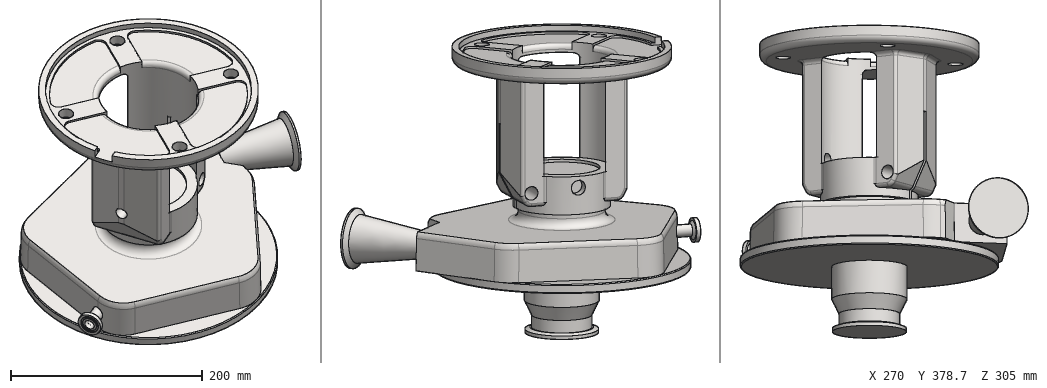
import cadquery as cq
import math

PIPE_TAPER_BOTTOM = 19.0
PIPE_TAPER_TOP = 34.5
PLATE_BOTTOM = 69.0
PLATE_TOP = 78.8
VOLUTE_TOP = 120.0
NECK_TOP = 135.5
COLUMN_BOTTOM = 144.5
RING_TOP = 176.0
TOTAL_HEIGHT = 305.0
FLANGE_THICKNESS = 17.5
FLANGE_BOTTOM = TOTAL_HEIGHT - FLANGE_THICKNESS

PIPE_RADIUS = 39.5
PIPE_SMALL_RADIUS = 32.0
FERRULE_RADIUS = 38.5
FERRULE_RIM = 3.8
FERRULE_BEVEL = 2.0
FERRULE_BEVEL_RADIUS = 33.5
PLATE_RADIUS = 270.0 / 2
PLATE_CHAMFER = 1.0

SIDE_DISTANCE = 114.8
PENTAGON_STEP = 360 / 5
PENTAGON_SIDES_KEPT = 4
FIRST_SIDE = 171
SHOULDER_SIDE = (126, 139.5)
OUTLET_SIDE = (45, 110.5)
RELIEF_SIDE = (100, 118.5)
TONGUE_SIDE = (58, 138.5)
CORNER_RADIUS = 34.0
VOLUTE_DRAFT = 1.0
VOLUTE_EDGE_FILLET = 10.5
VOLUTE_EDGE_TRIM = 3.8

NECK_RADIUS = 45.5
NECK_FILLET = 10.2
RING_RADIUS = 51.0
RING_RECESS_RADIUS = 39.8
RING_RECESS_DEPTH = 3.0
RING_HOLE_DIAMETER = 15.5
RING_HOLE_HEIGHT = 164.0

COLUMN_HALF_WIDTH = 39.5
COLUMN_RIDGE = 69.5
COLUMN_SHOULDER = 58.5
RIDGE_WIDTH = 6.0
COLUMN_EDGE_FILLET = 3.8
COLUMN_SLOPE_TOP = 175.0
COLUMN_SLOPE_BOTTOM = 149.3
COLUMN_SLOPE_INNER = 55.5
COLUMN_TOE = 47.7
COLUMN_TOE_RADIUS = 9.0
COLUMN_FLARE = 5.0
FLARE_PAD_THICKNESS = 2.0
RING_BLEND_FILLET = 3.8
RIDGE_HOLE_DIAMETER = 12.5
RIDGE_HOLE_HEIGHT = 188.3
CLAMP_HOLE_DIAMETER = 14.5
CLAMP_HOLE_HEIGHT = 159.0
CLAMP_HOLE_Y = 48.0
SLIT_WIDTH = 3.8
SLIT_TOP = 227.3

FLANGE_RADIUS = 114.8
FLANGE_BORE_RADIUS = 52.3
FLANGE_EDGE_FILLET = 7.0
FLANGE_BORE_FILLET = 5.5
RIM_INNER_RADIUS = 107.5
RIM_DEPTH = 6.0
POCKET_RADIUS = 103.5
POCKET_FLOOR = TOTAL_HEIGHT - 8.5
POCKET_CORNER_RADIUS = 8.7
SPOKE_WIDTH = 24.2
SPOKE_ANGLES = (45, 135)
BOLT_CIRCLE_RADIUS = 92.0
BOLT_DIAMETER = 15.5
NOTCH_WIDTH = 19.7
NOTCH_REACH = 98.5

NOZZLE_OFFSET = 96.5
NOZZLE_HEIGHT = 101.0
NOZZLE_END = 195.0
NOZZLE_ROOT = 106.0
NOZZLE_CONE_START = 113.3
NOZZLE_CONE_END = NOZZLE_END - 6.5
NOZZLE_NECK_RADIUS = 11.5
NOZZLE_SMALL_RADIUS = 14.5
NOZZLE_LARGE_RADIUS = 25.8
NOZZLE_RIM_RADIUS = 32.0
NOZZLE_RIM = 2.3

DRAIN_HEIGHT = 98.5
DRAIN_END = 150.0
DRAIN_RADIUS = 13.3 / 2
DRAIN_BORE_RADIUS = 5.3
DRAIN_RIM_RADIUS = 13.0
DRAIN_RIM = 4.5
DRAIN_HUB_RADIUS = 10.2
DRAIN_HUB_START = 7.0
DRAIN_GROOVE_RADII = (8.0, 10.0)
DRAIN_GROOVE_DEPTH = 1.0


def cylinder(radius, bottom, top):
    return cq.Workplane("XY").workplane(offset=bottom).circle(radius).extrude(top - bottom)


def box_between(x_range, y_range, z_range):
    (x0, x1), (y0, y1), (z0, z1) = x_range, y_range, z_range
    return cq.Workplane("XY").box(x1 - x0, y1 - y0, z1 - z0, centered=False).translate((x0, y0, z0))


def meeting_point(side_a, side_b):
    """Corner of two sides, each given as (normal direction, distance from the axis)."""
    (angle_a, distance_a), (angle_b, distance_b) = side_a, side_b
    a = math.radians(angle_a)
    b = math.radians(angle_b)
    turn = math.sin(b - a)
    x = (distance_a * math.sin(b) - distance_b * math.sin(a)) / turn
    y = (distance_b * math.cos(a) - distance_a * math.cos(b)) / turn
    return x, y


def nearest(point, z):
    return cq.selectors.NearestToPointSelector((point[0], point[1], z))


def midpoint(a, b):
    return (a[0] + b[0]) / 2, (a[1] + b[1]) / 2


def make_pipe_and_plate():
    profile = [
        (0, 0),
        (FERRULE_RADIUS, 0),
        (FERRULE_RADIUS, FERRULE_RIM),
        (FERRULE_BEVEL_RADIUS, FERRULE_RIM + FERRULE_BEVEL),
        (PIPE_SMALL_RADIUS, FERRULE_RIM + FERRULE_BEVEL),
        (PIPE_SMALL_RADIUS, PIPE_TAPER_BOTTOM),
        (PIPE_RADIUS, PIPE_TAPER_TOP),
        (PIPE_RADIUS, PLATE_BOTTOM),
        (PLATE_RADIUS - PLATE_CHAMFER, PLATE_BOTTOM),
        (PLATE_RADIUS, PLATE_BOTTOM + PLATE_CHAMFER),
        (PLATE_RADIUS, PLATE_TOP - PLATE_CHAMFER),
        (PLATE_RADIUS - PLATE_CHAMFER, PLATE_TOP),
        (0, PLATE_TOP),
    ]
    return cq.Workplane("XZ").polyline(profile).close().revolve()


def make_volute():
    pentagon_sides = [(FIRST_SIDE + i * PENTAGON_STEP, SIDE_DISTANCE) for i in range(PENTAGON_SIDES_KEPT)]
    sides = [SHOULDER_SIDE] + pentagon_sides + [TONGUE_SIDE, RELIEF_SIDE, OUTLET_SIDE]
    corners = [meeting_point(side, following) for side, following in zip(sides, sides[1:] + sides[:1])]
    *rounded_corners, tongue_tip, relief_corner, outlet_corner = corners

    untrimmed_top = VOLUTE_TOP + VOLUTE_EDGE_TRIM
    height = untrimmed_top - PLATE_TOP
    middle = PLATE_TOP + height / 2
    body = (cq.Workplane("XY").workplane(offset=PLATE_TOP)
            .polyline(corners).close().extrude(height, taper=VOLUTE_DRAFT))
    for corner in rounded_corners:
        body = body.edges(nearest(corner, middle)).fillet(CORNER_RADIUS)

    sharp_edges = (nearest(midpoint(tongue_tip, relief_corner), untrimmed_top)
                   + nearest(relief_corner, untrimmed_top)
                   + nearest(midpoint(relief_corner, outlet_corner), untrimmed_top))
    body = body.faces(">Z").edges(-sharp_edges).fillet(VOLUTE_EDGE_FILLET)
    return body.cut(cylinder(2 * PLATE_RADIUS, VOLUTE_TOP, untrimmed_top))


def make_neck():
    return (cq.Workplane("XZ")
            .moveTo(0, VOLUTE_TOP)
            .lineTo(NECK_RADIUS + NECK_FILLET, VOLUTE_TOP)
            .radiusArc((NECK_RADIUS, VOLUTE_TOP + NECK_FILLET), NECK_FILLET)
            .lineTo(NECK_RADIUS, NECK_TOP)
            .lineTo(0, NECK_TOP)
            .close().revolve())


def make_column():
    """One column on the -Y side of the axis, flared where it meets the flange."""
    half_ridge = RIDGE_WIDTH / 2
    plan = [
        (-COLUMN_HALF_WIDTH, 0),
        (-COLUMN_HALF_WIDTH, -COLUMN_SHOULDER),
        (-half_ridge, -COLUMN_RIDGE),
        (half_ridge, -COLUMN_RIDGE),
        (COLUMN_HALF_WIDTH, -COLUMN_SHOULDER),
        (COLUMN_HALF_WIDTH, 0),
    ]
    column = (cq.Workplane("XY").workplane(offset=COLUMN_BOTTOM)
              .polyline(plan).close().extrude(FLANGE_BOTTOM - COLUMN_BOTTOM))
    side_outline = (cq.Workplane("YZ").workplane(offset=-COLUMN_HALF_WIDTH)
                    .moveTo(0, FLANGE_BOTTOM)
                    .lineTo(-COLUMN_RIDGE, FLANGE_BOTTOM)
                    .lineTo(-COLUMN_RIDGE, COLUMN_SLOPE_TOP)
                    .lineTo(-COLUMN_SLOPE_INNER, COLUMN_SLOPE_BOTTOM)
                    .radiusArc((-COLUMN_TOE, COLUMN_BOTTOM), -COLUMN_TOE_RADIUS)
                    .lineTo(0, COLUMN_BOTTOM)
                    .close().extrude(2 * COLUMN_HALF_WIDTH))
    column = column.intersect(side_outline)
    margin = COLUMN_EDGE_FILLET / 2
    for x in (-COLUMN_HALF_WIDTH, COLUMN_HALF_WIDTH):
        side_edges = cq.selectors.BoxSelector(
            (x - margin, -COLUMN_RIDGE, COLUMN_BOTTOM - margin),
            (x + margin, -margin, FLANGE_BOTTOM - margin))
        column = column.edges(side_edges).fillet(COLUMN_EDGE_FILLET)

    pad_half_width = COLUMN_HALF_WIDTH + 2 * COLUMN_FLARE
    pad = box_between((-pad_half_width, pad_half_width), (-COLUMN_RIDGE - 2 * COLUMN_FLARE, 0),
                      (FLANGE_BOTTOM, FLANGE_BOTTOM + FLARE_PAD_THICKNESS))
    column = column.union(pad)
    root = cq.selectors.BoxSelector(
        (-COLUMN_HALF_WIDTH - margin, -COLUMN_RIDGE - margin, FLANGE_BOTTOM - margin),
        (COLUMN_HALF_WIDTH + margin, -margin, FLANGE_BOTTOM + margin))
    return column.edges(root).fillet(COLUMN_FLARE)


def make_column_pair():
    """Both columns blended into the clamping ring, with the flange bore carried down between them."""
    column = make_column()
    ring = cylinder(RING_RADIUS, NECK_TOP, RING_TOP)

    blend_y = math.sqrt(RING_RADIUS ** 2 - COLUMN_HALF_WIDTH ** 2) + 2 * RING_BLEND_FILLET
    blend_bottom = COLUMN_BOTTOM + COLUMN_EDGE_FILLET
    bridge = box_between((-COLUMN_HALF_WIDTH, COLUMN_HALF_WIDTH), (-blend_y, blend_y),
                         (blend_bottom, RING_TOP))
    blends = cylinder(RING_RADIUS, blend_bottom, RING_TOP).union(bridge)
    inside_corners = cq.selectors.BoxSelector(
        (-RING_RADIUS, RING_BLEND_FILLET - blend_y, NECK_TOP),
        (RING_RADIUS, blend_y - RING_BLEND_FILLET, RING_TOP))
    blends = blends.edges("|Z").edges(inside_corners).fillet(RING_BLEND_FILLET)

    pair = ring.union(blends).union(column).union(column.mirror("XZ"))
    return pair.cut(cylinder(FLANGE_BORE_RADIUS, RING_TOP, TOTAL_HEIGHT))


def make_flange():
    flange = (cylinder(FLANGE_RADIUS, FLANGE_BOTTOM, TOTAL_HEIGHT)
              .faces("<Z").edges().fillet(FLANGE_EDGE_FILLET))
    flange = flange.cut(cylinder(RIM_INNER_RADIUS, TOTAL_HEIGHT - RIM_DEPTH, TOTAL_HEIGHT))

    bore_edge = (cq.Workplane("XZ")
                 .moveTo(0, POCKET_FLOOR - FLANGE_BORE_FILLET)
                 .lineTo(FLANGE_BORE_RADIUS, POCKET_FLOOR - FLANGE_BORE_FILLET)
                 .radiusArc((FLANGE_BORE_RADIUS + FLANGE_BORE_FILLET, POCKET_FLOOR), FLANGE_BORE_FILLET)
                 .lineTo(FLANGE_BORE_RADIUS + FLANGE_BORE_FILLET, TOTAL_HEIGHT)
                 .lineTo(0, TOTAL_HEIGHT)
                 .close().revolve())
    pockets = cylinder(POCKET_RADIUS, POCKET_FLOOR, TOTAL_HEIGHT)
    for angle in SPOKE_ANGLES:
        spoke = (cq.Workplane("XY").rect(2 * FLANGE_RADIUS, SPOKE_WIDTH).extrude(TOTAL_HEIGHT)
                 .rotate((0, 0, 0), (0, 0, 1), angle))
        pockets = pockets.cut(spoke)
        bore_edge = bore_edge.cut(spoke)
    pockets = pockets.edges("|Z").fillet(POCKET_CORNER_RADIUS)
    flange = flange.cut(pockets).cut(bore_edge)
    flange = flange.cut(cylinder(FLANGE_BORE_RADIUS, FLANGE_BOTTOM, TOTAL_HEIGHT))
    bolt_holes = (cq.Workplane("XY").workplane(offset=FLANGE_BOTTOM)
                  .polarArray(BOLT_CIRCLE_RADIUS, SPOKE_ANGLES[0], 360, 2 * len(SPOKE_ANGLES))
                  .circle(BOLT_DIAMETER / 2).extrude(FLANGE_THICKNESS))
    notch = box_between((-NOTCH_WIDTH / 2, NOTCH_WIDTH / 2), (-FLANGE_RADIUS, -NOTCH_REACH),
                        (POCKET_FLOOR, TOTAL_HEIGHT))
    return flange.cut(bolt_holes).cut(notch)


def make_nozzle():
    """Outlet nozzle, turned about its own axis and then aimed away from the outlet face."""
    profile = [
        (0, NOZZLE_ROOT),
        (NOZZLE_NECK_RADIUS, NOZZLE_ROOT),
        (NOZZLE_NECK_RADIUS, NOZZLE_CONE_START),
        (NOZZLE_SMALL_RADIUS, NOZZLE_CONE_START),
        (NOZZLE_LARGE_RADIUS, NOZZLE_CONE_END),
        (NOZZLE_RIM_RADIUS, NOZZLE_END - NOZZLE_RIM),
        (NOZZLE_RIM_RADIUS, NOZZLE_END),
        (0, NOZZLE_END),
    ]
    nozzle = cq.Workplane("XY").polyline(profile).close().revolve(360, (0, 0, 0), (0, 1, 0))
    nozzle_direction, _ = OUTLET_SIDE
    return (nozzle.translate((-NOZZLE_OFFSET, 0, NOZZLE_HEIGHT))
            .rotate((0, 0, 0), (0, 0, 1), nozzle_direction - 90))


def make_drain():
    groove_inner, groove_outer = DRAIN_GROOVE_RADII
    groove_floor = DRAIN_END - DRAIN_GROOVE_DEPTH
    profile = [
        (DRAIN_BORE_RADIUS, SIDE_DISTANCE),
        (DRAIN_RADIUS, SIDE_DISTANCE),
        (DRAIN_RADIUS, DRAIN_END - DRAIN_HUB_START),
        (DRAIN_HUB_RADIUS, DRAIN_END - DRAIN_RIM),
        (DRAIN_RIM_RADIUS, DRAIN_END - DRAIN_RIM),
        (DRAIN_RIM_RADIUS, DRAIN_END),
        (groove_outer, DRAIN_END),
        (groove_outer, groove_floor),
        (groove_inner, groove_floor),
        (groove_inner, DRAIN_END),
        (DRAIN_BORE_RADIUS, DRAIN_END),
    ]
    drain = cq.Workplane("XY").polyline(profile).close().revolve(360, (0, 0, 0), (0, 1, 0))
    return drain.rotate((0, 0, 0), (0, 0, 1), 180).translate((0, 0, DRAIN_HEIGHT))


def make_holes_and_slit():
    """Ridge hole at -Y, clamp hole and slit at +Y, and the side hole and top recess of the ring."""
    ridge_hole = (cq.Workplane("XZ").center(0, RIDGE_HOLE_HEIGHT)
                  .circle(RIDGE_HOLE_DIAMETER / 2).extrude(COLUMN_RIDGE))
    clamp_hole = (cq.Workplane("YZ").center(CLAMP_HOLE_Y, CLAMP_HOLE_HEIGHT)
                  .circle(CLAMP_HOLE_DIAMETER / 2).extrude(COLUMN_HALF_WIDTH, both=True))
    slit = box_between((-SLIT_WIDTH / 2, SLIT_WIDTH / 2), (RING_RECESS_RADIUS, COLUMN_RIDGE),
                       (NECK_TOP, SLIT_TOP))
    ring_hole = (cq.Workplane("YZ").workplane(offset=-RING_RADIUS).center(0, RING_HOLE_HEIGHT)
                 .circle(RING_HOLE_DIAMETER / 2).extrude(RING_RADIUS - RING_RECESS_RADIUS))
    recess = cylinder(RING_RECESS_RADIUS, RING_TOP - RING_RECESS_DEPTH, RING_TOP)
    return ridge_hole.union(clamp_hole).union(slit).union(ring_hole).union(recess)


result = (
    make_pipe_and_plate()
    .union(make_volute())
    .union(make_neck())
    .union(make_column_pair())
    .cut(make_holes_and_slit())
    .union(make_nozzle())
    .union(make_drain())
    .union(make_flange())
)